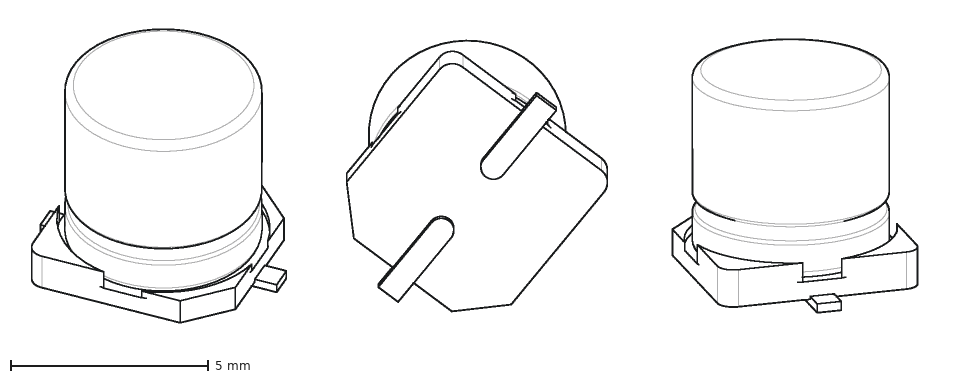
import cadquery as cq

total_height = 5.4
lead_span = 6.5

base_width = 5.3
base_bottom = 0.16
tall_height = 1.0
low_height = 0.7
corner_radius = 0.42
corner_chamfer = 1.07
recess_radius = 2.7
seat_thickness = 0.485
recess_floor = base_bottom + seat_thickness

can_radius = 5.0 / 2
rim_radius = 0.21
groove_z = base_bottom + 1.7
groove_radius = 0.2
groove_lip_radius = 0.1

lead_width = 0.64
lead_thickness = 0.24
lead_inner_x = 0.75


def make_base():
    """Square base, high on the -X half and low on the +X half, with a round seat for the can."""
    half_width = base_width / 2
    base = (
        cq.Workplane("XY")
        .workplane(offset=base_bottom)
        .rect(base_width, base_width)
        .extrude(tall_height)
        .edges("|Z and <X")
        .fillet(corner_radius)
        .edges("|Z and >X")
        .chamfer(corner_chamfer)
    )
    step = (
        cq.Workplane("XY")
        .workplane(offset=base_bottom + low_height)
        .center(half_width / 2, 0)
        .rect(half_width, base_width)
        .extrude(tall_height - low_height)
    )
    seat = cq.Workplane("XY").workplane(offset=recess_floor).circle(recess_radius).extrude(tall_height)
    return base.cut(step).cut(seat)


def make_can():
    """Round can standing on the seat, with rounded rims and a rolled groove."""
    can = (
        cq.Workplane("XY")
        .workplane(offset=recess_floor)
        .circle(can_radius)
        .extrude(total_height - recess_floor)
        .faces("<Z or >Z")
        .edges()
        .fillet(rim_radius)
    )
    groove = (
        cq.Workplane("XZ")
        .center(can_radius, groove_z)
        .circle(groove_radius)
        .revolve(360, (-can_radius, 0), (-can_radius, 1))
    )
    lip_zone = cq.selectors.BoxSelector(
        (-can_radius, -can_radius, groove_z - 2 * groove_radius),
        (can_radius, can_radius, groove_z + 2 * groove_radius),
    )
    return can.cut(groove).edges(lip_zone).edges("%CIRCLE").fillet(groove_lip_radius)


def make_lead(side):
    """Flat lead with a rounded inner end; side is -1 for -X and +1 for +X."""
    outer_x = side * lead_span / 2
    round_x = side * (lead_inner_x + lead_width / 2)
    half_width = lead_width / 2
    return (
        cq.Workplane("XY")
        .moveTo(outer_x, -half_width)
        .lineTo(round_x, -half_width)
        .threePointArc((side * lead_inner_x, 0), (round_x, half_width))
        .lineTo(outer_x, half_width)
        .close()
        .extrude(lead_thickness)
    )


result = make_base().union(make_can())
for side in (-1, 1):
    result = result.union(make_lead(side))